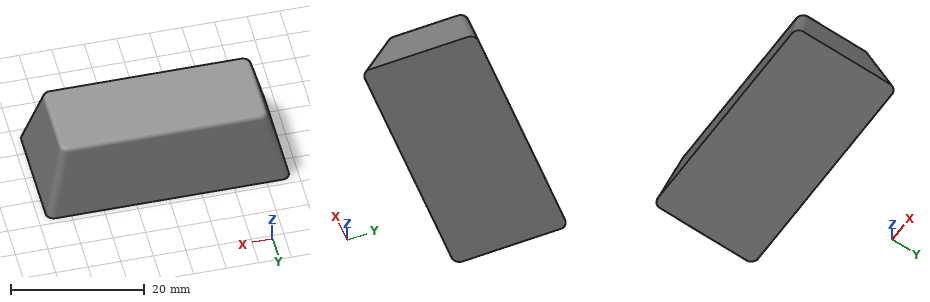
import cadquery as cq

LENGTH = 37.35
WIDTH = 18.3
HEIGHT = 11.4
WALL_DRAFT = 14.0
CORNER_RADIUS = 1.3
TOP_RADIUS = 0.75


def tapered_block():
    """Rectangular block whose four walls lean inward toward the top."""
    return cq.Workplane("XY").rect(LENGTH, WIDTH).extrude(HEIGHT, taper=WALL_DRAFT)


def round_edges(block):
    """Round the sloping corners first, then the whole top rim."""
    rounded_corners = block.edges("not #Z").fillet(CORNER_RADIUS)
    return rounded_corners.faces(">Z").edges().fillet(TOP_RADIUS)


result = round_edges(tapered_block())